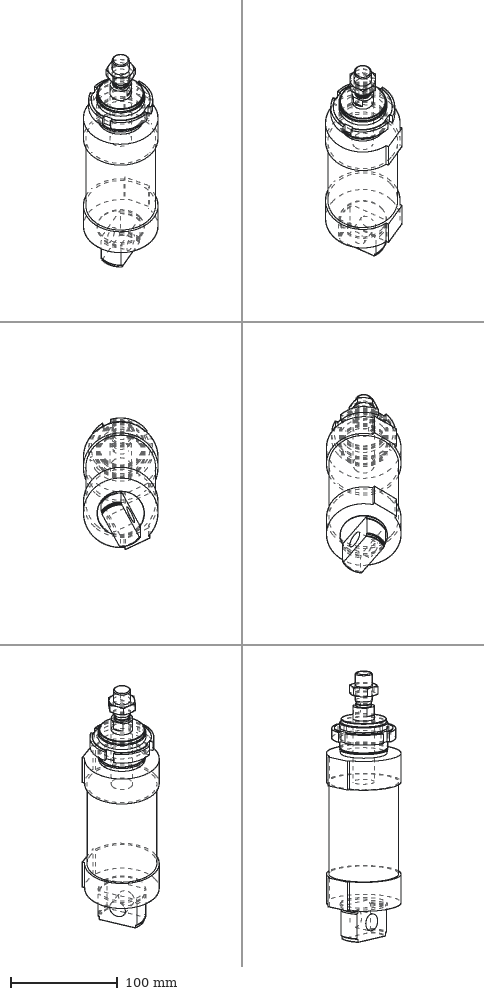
import cadquery as cq
import math

TOTAL_HEIGHT = 254.2
REAR_CAP_BOTTOM = 33.3
CAP_HEIGHT = 27.7
BARREL_HEIGHT = 88.5
FRONT_BOSS_HEIGHT = 33.0

REAR_CAP_TOP = REAR_CAP_BOTTOM + CAP_HEIGHT
FRONT_CAP_BOTTOM = REAR_CAP_TOP + BARREL_HEIGHT
FRONT_CAP_TOP = FRONT_CAP_BOTTOM + CAP_HEIGHT
BOSS_TOP = FRONT_CAP_TOP + FRONT_BOSS_HEIGHT

BARREL_DIAMETER = 65.3
CAP_DIAMETER = 70.0
PAD_WIDTH = 25.7

BOSS_DIAMETER = 45.0
BOSS_ROOT_DIAMETER = 43.5
BOSS_TIP_DIAMETER = 42.7
BOSS_TIP_LENGTH = 3.0
BOSS_TIP_CHAMFER = 0.5
BOSS_THREAD_CHAMFER = 0.8
FRONT_GROOVE_OFFSET = 3.5
FRONT_GROOVE_WIDTH = 1.8
REAR_GROOVE_OFFSET = 2.5
REAR_GROOVE_WIDTH = 3.5
GROOVE_FLOOR_RATIO = 1 / 3
GROOVE_DIAMETER = 42.7

TONGUE_THICKNESS = 20.8
TONGUE_SHOULDER = 1.5
TONGUE_HOLE_DIAMETER = 16.0
TONGUE_HOLE_HEIGHT = 16.3

ROD_DIAMETER = 20.0
ROD_SHOULDER = 222.5
ROD_FLAT_WIDTH = 17.5
ROD_FLAT_LENGTH = 8.1
THREAD_DIAMETER = 16.0
THREAD_BOTTOM = 228.0
THREAD_CHAMFER = 1.0
NECK_DIAMETER = 15.0
NECK_CHAMFER = 0.3
NECK_LENGTH = 2.0
NECK_GROOVE_WALL = 0.5
NECK_GROOVE_DIAMETER = 14.0

HEX_SIDES = 6
HEX_HALF_ANGLE = 180 / HEX_SIDES
HEX_FLATS = 24.0
HEX_BOTTOM = 233.9
HEX_HEIGHT = 8.5
HEX_CHAMFER_DIAMETER = 24.0
HEX_CHAMFER_ANGLE = 20.0

RING_DIAMETER = 60.0
RING_BOTTOM = 191.7
RING_HEIGHT = 10.2
RING_COLLAR_DIAMETER = 55.2
RING_COLLAR_HEIGHT = 0.8
RING_SLOT_WIDTH = 8.5
RING_SLOT_FLOOR = 26.5
RING_SLOTS = 4


def cylinder(diameter, bottom, height):
    """Cylinder on the Z axis, starting at the given height."""
    return cq.Workplane("XY").workplane(offset=bottom).circle(diameter / 2).extrude(height)


def revolved(outline):
    """Solid of revolution about Z from (diameter, height) pairs along its outer edge."""
    bottom = outline[0][1]
    top = outline[-1][1]
    points = [(0, bottom)] + [(diameter / 2, height) for diameter, height in outline] + [(0, top)]
    return cq.Workplane("XZ").polyline(points).close().revolve(360, (0, 0, 0), (0, 1, 0))


def end_cap(bottom):
    """Round cap with a flat pad tangent to its +Y side."""
    pad = (
        cq.Workplane("XY")
        .workplane(offset=bottom)
        .center(0, CAP_DIAMETER / 4)
        .rect(PAD_WIDTH, CAP_DIAMETER / 2)
        .extrude(CAP_HEIGHT)
    )
    return cylinder(CAP_DIAMETER, bottom, CAP_HEIGHT).union(pad)


def threaded_boss(length, groove_offset, groove_width):
    """Boss rising from Z = 0 with a tapered root, a groove with sloped walls and a reduced tip."""
    groove_end = groove_offset + groove_width
    wall_length = groove_width * (1 - GROOVE_FLOOR_RATIO) / 2
    tip_start = length - BOSS_TIP_LENGTH
    return revolved([
        (BOSS_ROOT_DIAMETER, 0),
        (BOSS_DIAMETER, groove_offset),
        (GROOVE_DIAMETER, groove_offset + wall_length),
        (GROOVE_DIAMETER, groove_end - wall_length),
        (BOSS_DIAMETER, groove_end),
        (BOSS_DIAMETER, tip_start - BOSS_THREAD_CHAMFER),
        (BOSS_DIAMETER - 2 * BOSS_THREAD_CHAMFER, tip_start),
        (BOSS_TIP_DIAMETER, tip_start),
        (BOSS_TIP_DIAMETER, length - BOSS_TIP_CHAMFER),
        (BOSS_TIP_DIAMETER - 2 * BOSS_TIP_CHAMFER, length),
    ])


def rear_tongue():
    """Rear boss flattened on both X sides and cross-drilled along X."""
    boss = threaded_boss(REAR_CAP_BOTTOM, REAR_GROOVE_OFFSET, REAR_GROOVE_WIDTH).mirror("XY")
    boss = boss.translate((0, 0, REAR_CAP_BOTTOM))
    flats_top = REAR_CAP_BOTTOM - TONGUE_SHOULDER
    slab = cq.Workplane("XY").rect(TONGUE_THICKNESS, CAP_DIAMETER).extrude(flats_top)
    shoulder = cylinder(CAP_DIAMETER, flats_top, TONGUE_SHOULDER)
    hole = (
        cq.Workplane("YZ")
        .center(0, TONGUE_HOLE_HEIGHT)
        .circle(TONGUE_HOLE_DIAMETER / 2)
        .extrude(CAP_DIAMETER, both=True)
    )
    return boss.intersect(slab.union(shoulder)).cut(hole)


def make_housing():
    """Barrel, both caps, front boss and rear tongue, bored for the rod."""
    barrel = cylinder(BARREL_DIAMETER, REAR_CAP_TOP, BARREL_HEIGHT)
    front_boss = threaded_boss(FRONT_BOSS_HEIGHT, FRONT_GROOVE_OFFSET, FRONT_GROOVE_WIDTH)
    front_boss = front_boss.translate((0, 0, FRONT_CAP_TOP))
    rod_bore = cylinder(ROD_DIAMETER, FRONT_CAP_BOTTOM, BOSS_TOP - FRONT_CAP_BOTTOM)
    return (
        barrel
        .union(end_cap(REAR_CAP_BOTTOM))
        .union(end_cap(FRONT_CAP_BOTTOM))
        .union(front_boss)
        .union(rear_tongue())
        .cut(rod_bore)
    )


def make_rod():
    """Rod with wrench flats, a necked thread relief and a chamfered threaded end."""
    neck_top = ROD_SHOULDER + NECK_LENGTH
    rod = revolved([
        (ROD_DIAMETER, FRONT_CAP_BOTTOM),
        (ROD_DIAMETER, ROD_SHOULDER),
        (NECK_DIAMETER - 2 * NECK_CHAMFER, ROD_SHOULDER),
        (NECK_DIAMETER, ROD_SHOULDER + NECK_CHAMFER),
        (NECK_DIAMETER, neck_top),
        (NECK_GROOVE_DIAMETER, neck_top + NECK_GROOVE_WALL),
        (THREAD_DIAMETER, THREAD_BOTTOM),
        (THREAD_DIAMETER, TOTAL_HEIGHT - THREAD_CHAMFER),
        (THREAD_DIAMETER - 2 * THREAD_CHAMFER, TOTAL_HEIGHT),
    ])
    flat_depth = (ROD_DIAMETER - ROD_FLAT_WIDTH) / 2
    for side in (-1, 1):
        flat_cut = cq.Workplane("XY").box(flat_depth, ROD_DIAMETER, ROD_FLAT_LENGTH).translate(
            (side * (ROD_FLAT_WIDTH + flat_depth) / 2, 0, ROD_SHOULDER - ROD_FLAT_LENGTH / 2)
        )
        rod = rod.cut(flat_cut)
    return rod


def make_hex_nut():
    """Hexagon nut with flats facing X and its corners chamfered at both ends."""
    corner_diameter = HEX_FLATS / math.cos(math.radians(HEX_HALF_ANGLE))
    chamfer_height = (
        (corner_diameter - HEX_CHAMFER_DIAMETER) / 2 * math.tan(math.radians(HEX_CHAMFER_ANGLE))
    )
    hex_top = HEX_BOTTOM + HEX_HEIGHT
    prism = (
        cq.Workplane("XY")
        .workplane(offset=HEX_BOTTOM)
        .polygon(HEX_SIDES, corner_diameter)
        .extrude(HEX_HEIGHT)
        .rotate((0, 0, 0), (0, 0, 1), HEX_HALF_ANGLE)
    )
    envelope = revolved([
        (HEX_CHAMFER_DIAMETER, HEX_BOTTOM),
        (corner_diameter, HEX_BOTTOM + chamfer_height),
        (corner_diameter, hex_top - chamfer_height),
        (HEX_CHAMFER_DIAMETER, hex_top),
    ])
    return prism.intersect(envelope).cut(cylinder(THREAD_DIAMETER, HEX_BOTTOM, HEX_HEIGHT))


def make_ring_nut():
    """Ring nut with a low raised collar and spanner slots on the X and Y axes."""
    ring = cylinder(RING_DIAMETER, RING_BOTTOM, RING_HEIGHT - RING_COLLAR_HEIGHT).union(
        cylinder(RING_COLLAR_DIAMETER, RING_BOTTOM, RING_HEIGHT)
    )
    slot_depth = RING_DIAMETER / 2 - RING_SLOT_FLOOR
    slot = cq.Workplane("XY").box(slot_depth, RING_SLOT_WIDTH, RING_HEIGHT).translate(
        (RING_SLOT_FLOOR + slot_depth / 2, 0, RING_BOTTOM + RING_HEIGHT / 2)
    )
    for index in range(RING_SLOTS):
        ring = ring.cut(slot.rotate((0, 0, 0), (0, 0, 1), index * 360 / RING_SLOTS))
    return ring.cut(cylinder(BOSS_DIAMETER, RING_BOTTOM, RING_HEIGHT))


housing = make_housing()
rod = make_rod()
hex_nut = make_hex_nut()
ring_nut = make_ring_nut()

result = cq.Compound.makeCompound([housing.val(), rod.val(), hex_nut.val(), ring_nut.val()])